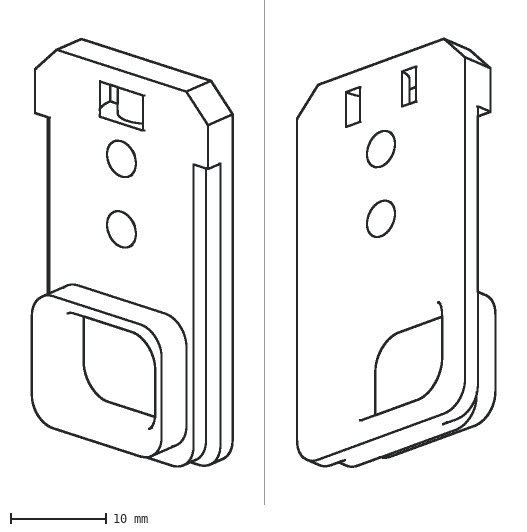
import cadquery as cq

plate_width = 24.0
plate_height = 43.0
plate_thick = 4.0
corner_radius = 3.0
top_chamfer = 3.0

head_height = 8.0
rebate_width = plate_thick / 2
rebate_depth = plate_thick / 2

boss_width = 18.0
boss_height = 15.0
boss_depth = plate_thick
boss_bottom = 2.0
boss_wall = 1.98
boss_center_z = boss_bottom + boss_height / 2
window_width = boss_width - 2 * boss_wall
window_height = boss_height - 2 * boss_wall
rim_flat = 0.005
front_round = boss_wall - rim_flat
back_round = 3.0

hole_diameter = 4.0
hole_spacing = 8.0
upper_hole_z = plate_height - 10.0

tunnel_inner_radius = 3.0
tunnel_outer_radius = 5.0
tunnel_height = 4.0
tunnel_top_z = plate_height - 2.0


def rounded_block(width, height, depth, center_z, front_y):
    """Block with rounded corners in XZ, reaching from front_y back by depth."""
    return (
        cq.Workplane("XY")
        .box(width, depth, height, centered=(True, False, True))
        .edges("|Y")
        .fillet(corner_radius)
        .translate((0, front_y, center_z))
    )


def make_plate():
    plate = cq.Workplane("XY").box(plate_width, plate_thick, plate_height, centered=(True, False, False))
    plate = plate.faces(">Z").edges("|Y").chamfer(top_chamfer)
    return plate.faces("<Z").edges("|Y").fillet(corner_radius)


def make_rebates():
    """Front layer below the head, minus the rounded tongue that stays between the rebates."""
    rebate_top = plate_height - head_height
    layer = cq.Workplane("XY").box(plate_width, rebate_depth, rebate_top, centered=(True, False, False))
    tongue_width = plate_width - 2 * rebate_width
    tongue = rounded_block(tongue_width, plate_height, rebate_depth, plate_height / 2, 0)
    return layer.cut(tongue)


def make_window():
    """Window cutter through the boss and the plate."""
    full_depth = boss_depth + plate_thick
    return rounded_block(window_width, window_height, full_depth, boss_center_z, -boss_depth)


def window_rim(body, face_selector):
    """Edges of the window opening on the selected end face."""
    end_face = body.faces(face_selector).val()
    return body.newObject(end_face.innerWires()).edges()


def make_holes():
    return (
        cq.Workplane("XZ")
        .pushPoints([(0, upper_hole_z), (0, upper_hole_z - hole_spacing)])
        .circle(hole_diameter / 2)
        .extrude(-plate_thick)
    )


def make_strap_tunnel():
    return (
        cq.Workplane("XY")
        .workplane(offset=tunnel_top_z - tunnel_height)
        .center(0, plate_thick)
        .circle(tunnel_outer_radius)
        .circle(tunnel_inner_radius)
        .extrude(tunnel_height)
    )


body = make_plate().cut(make_rebates())
body = body.union(rounded_block(boss_width, boss_height, boss_depth, boss_center_z, -boss_depth))
body = body.cut(make_window())
body = window_rim(body, "<Y").fillet(front_round)
body = window_rim(body, ">Y").fillet(back_round)
result = body.cut(make_holes()).cut(make_strap_tunnel())